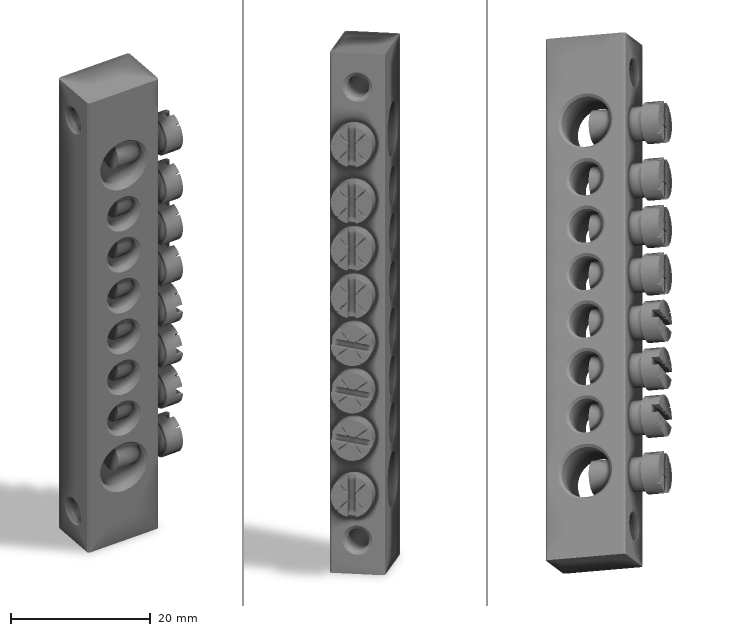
import cadquery as cq

BAR_LENGTH = 77.0
BAR_WIDTH = 8.0
BAR_DEPTH = 12.0
EDGE_CHAMFER = 0.27

WIRE_HOLE_COUNT = 6
WIRE_HOLE_PITCH = 7.0
WIRE_HOLE_DIAMETER = 5.0
MAIN_HOLE_DIAMETER = 7.4
MAIN_HOLE_OFFSET = 25.9
WIRE_HOLE_CHAMFER = 0.4

MOUNTING_HOLE_OFFSET = 33.5
MOUNTING_HOLE_DIAMETER = 3.2
MOUNTING_HOLE_CHAMFER = 0.55

SHANK_DIAMETER = 5.0
NECK_LENGTH = 2.0
HEAD_DIAMETER = 6.0
HEAD_HEIGHT = 2.7

SLOT_WIDTH = 1.15
SLOT_DEPTH = 1.1
GROOVE_WIDTH = 0.2
GROOVE_DEPTH = 0.55
GROOVE_ANGLES = [-45, 45]

CROSSWISE_TURN = 82
SCREW_TURNS = [0] + 3 * [CROSSWISE_TURN] + 4 * [0]

BACK_FACE_Y = BAR_DEPTH / 2
SHANK_LENGTH = BACK_FACE_Y + NECK_LENGTH
HEAD_TOP_Y = SHANK_LENGTH + HEAD_HEIGHT

wire_hole_heights = [
    (index - (WIRE_HOLE_COUNT - 1) / 2) * WIRE_HOLE_PITCH for index in range(WIRE_HOLE_COUNT)
]
main_hole_heights = [-MAIN_HOLE_OFFSET, MAIN_HOLE_OFFSET]
mounting_hole_heights = [-MOUNTING_HOLE_OFFSET, MOUNTING_HOLE_OFFSET]
screw_heights = sorted(wire_hole_heights + main_hole_heights)


def chamfered_hole(diameter, depth, chamfer):
    """Cutter along +Z from z = 0 to z = depth, flared at both mouths."""
    radius = diameter / 2
    mouth_radius = radius + chamfer
    profile = cq.Workplane("XZ").polyline([
        (0, 0),
        (mouth_radius, 0),
        (radius, chamfer),
        (radius, depth - chamfer),
        (mouth_radius, depth),
        (0, depth),
    ]).close()
    return profile.revolve(360, (0, 0), (0, 1))


def wire_hole(diameter, height):
    cutter = chamfered_hole(diameter, BAR_WIDTH, WIRE_HOLE_CHAMFER)
    return cutter.rotate((0, 0, 0), (0, 1, 0), 90).translate((-BAR_WIDTH / 2, 0, height))


def mounting_hole(height):
    cutter = chamfered_hole(MOUNTING_HOLE_DIAMETER, BAR_DEPTH, MOUNTING_HOLE_CHAMFER)
    return cutter.rotate((0, 0, 0), (1, 0, 0), -90).translate((0, -BAR_DEPTH / 2, height))


def screw_blank():
    """Shank and head of a screw pointing along +Y, its tip at the origin."""
    blank = cq.Workplane("XY").circle(SHANK_DIAMETER / 2).extrude(SHANK_LENGTH)
    blank = blank.faces(">Z").workplane().circle(HEAD_DIAMETER / 2).extrude(HEAD_HEIGHT)
    return blank.rotate((0, 0, 0), (1, 0, 0), -90)


def head_cut(width, depth, turn):
    """Straight cut right across a head, running along Z until turned about the screw axis."""
    cut = cq.Workplane("XY").box(width, depth, 2 * HEAD_DIAMETER)
    return cut.translate((0, HEAD_TOP_Y - depth / 2, 0)).rotate((0, 0, 0), (0, 1, 0), turn)


def make_screw(height, turn):
    screw = screw_blank().cut(head_cut(SLOT_WIDTH, SLOT_DEPTH, turn))
    for groove_angle in GROOVE_ANGLES:
        screw = screw.cut(head_cut(GROOVE_WIDTH, GROOVE_DEPTH, turn + groove_angle))
    return screw.translate((0, 0, height))


def make_bar():
    bar = cq.Workplane("XY").box(BAR_WIDTH, BAR_DEPTH, BAR_LENGTH)
    bar = bar.edges("|Z").chamfer(EDGE_CHAMFER)
    for height in wire_hole_heights:
        bar = bar.cut(wire_hole(WIRE_HOLE_DIAMETER, height))
    for height in main_hole_heights:
        bar = bar.cut(wire_hole(MAIN_HOLE_DIAMETER, height))
    for height in mounting_hole_heights:
        bar = bar.cut(mounting_hole(height))
    for height in screw_heights:
        bar = bar.cut(screw_blank().translate((0, 0, height)))
    return bar


bar = make_bar()
screws = [make_screw(height, turn) for height, turn in zip(screw_heights, SCREW_TURNS)]

result = cq.Compound.makeCompound([bar.val(), *[screw.val() for screw in screws]])